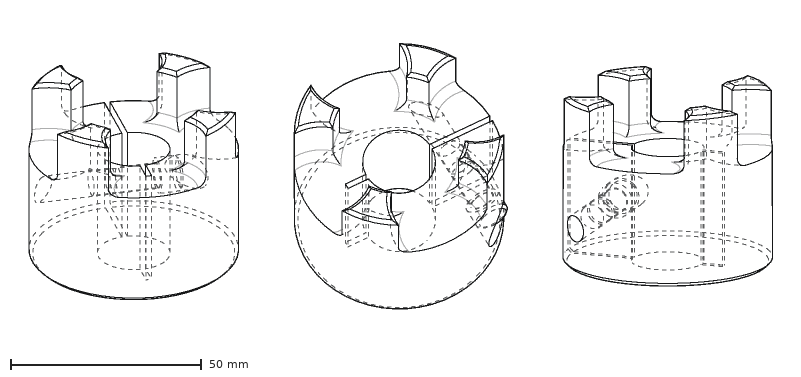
import cadquery as cq
import math

hub_radius = 27.5
bore_radius = 9.5
total_height = 45.95
jaw_height = 15.3
floor_z = total_height - jaw_height
edge_chamfer = 1.0

jaw_count = 4
jaw_pitch = 360 / jaw_count
clearing_radius = 17.45
pocket_radius = 13.25
pocket_center_radius = 23.05
root_fillet = 2.3

slit_width = 1.5
slit_inner_reach = 15.6
slit_angle = 135

screw_offset = 18.65
screw_z = 11.95
hole_radius = 3.4
shank_radius = 3.15
head_radius = 4.75
head_length = 6.0
head_chamfer = 0.8
head_top = 17.25
head_seat = head_top - head_length
shank_end = -6.7

outside = 2 * hub_radius


def round_pocket(radius):
    """Revolved pocket cutter with a filleted floor edge and a flared mouth."""
    fillet_middle = root_fillet * math.sqrt(0.5)
    fillet_center_x = radius - root_fillet
    fillet_center_z = floor_z + root_fillet
    return (
        cq.Workplane("XZ")
        .moveTo(0, floor_z)
        .lineTo(fillet_center_x, floor_z)
        .threePointArc(
            (fillet_center_x + fillet_middle, fillet_center_z - fillet_middle),
            (radius, fillet_center_z),
        )
        .lineTo(radius, total_height - edge_chamfer)
        .lineTo(radius + edge_chamfer, total_height)
        .lineTo(0, total_height)
        .close()
        .revolve(360, (0, 0, 0), (0, 1, 0))
    )


def screw_cylinder(radius, start, end):
    """Cylinder on the screw axis between two stations along it."""
    slit_direction = math.radians(slit_angle)
    axis_origin = cq.Vector(
        screw_offset * math.cos(slit_direction), screw_offset * math.sin(slit_direction), screw_z
    )
    axis_direction = cq.Vector(math.sin(slit_direction), -math.cos(slit_direction), 0)
    base = axis_origin + axis_direction * start
    return cq.Workplane(cq.Solid.makeCylinder(radius, end - start, base, axis_direction))


def make_slit():
    """Slot through the rim on one side of the bore, ending inside the opposite wall."""
    length = outside + slit_inner_reach
    return (
        cq.Workplane("XY")
        .center((outside - slit_inner_reach) / 2, 0)
        .rect(length, slit_width)
        .extrude(total_height)
        .rotate((0, 0, 0), (0, 0, 1), slit_angle)
    )


def make_hub():
    hub = cq.Workplane("XY").circle(hub_radius).extrude(total_height)
    hub = hub.faces("<Z or >Z").edges().chamfer(edge_chamfer)

    hub = hub.cut(round_pocket(clearing_radius))
    for index in range(jaw_count):
        pocket = round_pocket(pocket_radius).translate((pocket_center_radius, 0, 0))
        pocket_angle = (index + 0.5) * jaw_pitch
        hub = hub.cut(pocket.rotate((0, 0, 0), (0, 0, 1), pocket_angle))

    hub = hub.cut(cq.Workplane("XY").circle(bore_radius).extrude(total_height))
    hub = hub.cut(make_slit())

    hub = hub.cut(screw_cylinder(hole_radius, -outside, outside))
    return hub.cut(screw_cylinder(head_radius, head_seat, outside))


def make_screw():
    head = screw_cylinder(head_radius, head_seat, head_top)
    head = head.faces(cq.selectors.DirectionMinMaxSelector(cq.Vector(1, 1, 0), True))
    head = head.edges().chamfer(head_chamfer)
    return head.union(screw_cylinder(shank_radius, shank_end, head_seat))


hub = make_hub()
screw = make_screw()

result = cq.Compound.makeCompound([hub.val(), screw.val()])